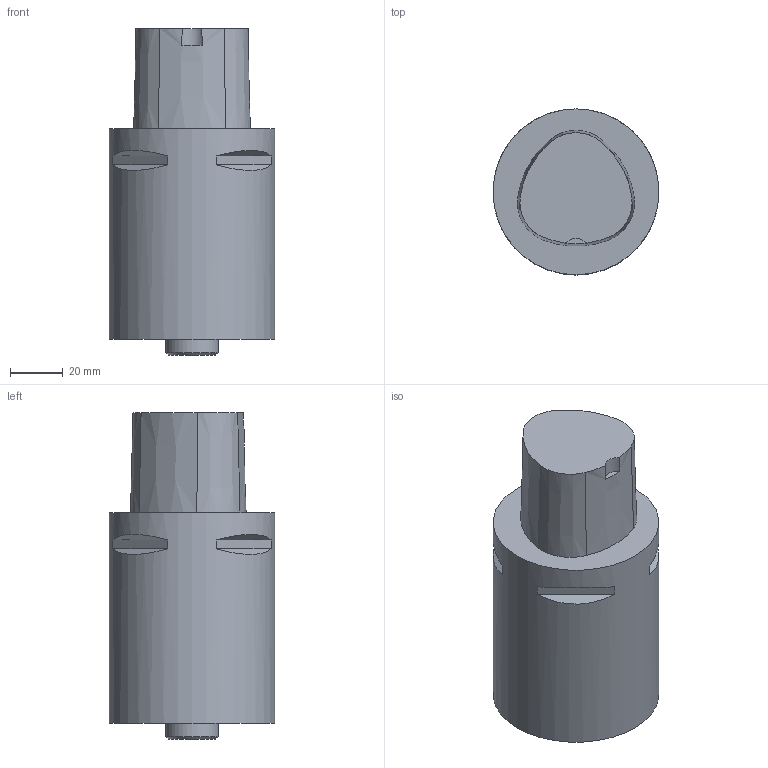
import cadquery as cq
import math

body_diameter = 63.0
body_height = 80.0
body_radius = body_diameter / 2

pin_diameter = 20.0
pin_height = 6.0
pin_chamfer = 1.0

shank_height = 38.0
flank_distance = 20.65
lobe_count = 3
flank_pitch = 360 / lobe_count
lobe_distance = 23.35
lobe_radius = 15.25
taper_on_width = 1 / 20
top_inset = shank_height * taper_on_width / 2

notch_radius = 5.0
notch_height = 6.3
notch_bottom_y = -17.8

groove_count = 4
groove_first_angle = 45.0
groove_center_depth = 12.0
groove_floor_height = 3.4
groove_floor_distance = 27.85
groove_wall_angle = 30.0
groove_overrun = 1.0


def polar_point(radius, degrees):
    angle = math.radians(degrees)
    return (radius * math.cos(angle), radius * math.sin(angle))


def shank_section(z, inset):
    """Wire of six tangent arcs: three lobes alternating with three flatter flanks."""
    flank = flank_distance - inset
    lobe = lobe_distance - inset
    radius = lobe_radius - inset
    lobe_center = lobe - radius
    flank_radius = (flank**2 + lobe_center**2 - radius**2 - flank * lobe_center) / (
        2 * flank - 2 * radius - lobe_center
    )
    flank_center = flank_radius - flank
    across = lobe_center * math.sin(math.pi / lobe_count)
    along = lobe_center * math.cos(math.pi / lobe_count) + flank_center
    half_sweep = math.atan2(across, along)
    joint_across = flank_radius * math.sin(half_sweep)
    joint_along = flank_radius * math.cos(half_sweep) - flank_center
    joint_distance = math.hypot(joint_across, joint_along)
    joint_angle = math.degrees(math.atan2(joint_across, joint_along))

    outline = cq.Workplane("XY", origin=(0, 0, z))
    outline = outline.moveTo(*polar_point(joint_distance, -90 - joint_angle))
    for i in range(lobe_count):
        flank_angle = -90 + i * flank_pitch
        flank_end = polar_point(joint_distance, flank_angle + joint_angle)
        lobe_end = polar_point(joint_distance, flank_angle + flank_pitch - joint_angle)
        outline = outline.threePointArc(polar_point(flank, flank_angle), flank_end)
        outline = outline.threePointArc(polar_point(lobe, flank_angle + flank_pitch / 2), lobe_end)
    return outline.close().val()


def make_shank():
    base = shank_section(0, 0)
    top = shank_section(shank_height, top_inset)
    shank = cq.Workplane(cq.Solid.makeLoft([base, top], True))
    notch = (
        cq.Workplane("XY", origin=(0, 0, shank_height))
        .center(0, notch_bottom_y - notch_radius)
        .circle(notch_radius)
        .extrude(-notch_height)
    )
    return shank.cut(notch)


def make_groove_cutter():
    """Straight trapezoidal bar on the +X side, widening outwards."""
    outer = body_radius + groove_overrun
    floor_half = groove_floor_height / 2
    wall_rise = (outer - groove_floor_distance) * math.tan(math.radians(groove_wall_angle))
    mouth_half = floor_half + wall_rise
    return (
        cq.Workplane("XZ", origin=(0, 0, -groove_center_depth))
        .moveTo(groove_floor_distance, -floor_half)
        .lineTo(outer, -mouth_half)
        .lineTo(outer, mouth_half)
        .lineTo(groove_floor_distance, floor_half)
        .close()
        .extrude(body_radius, both=True)
    )


def make_body():
    body = cq.Workplane("XY").circle(body_radius).extrude(-body_height)
    cutter = make_groove_cutter()
    for i in range(groove_count):
        angle = groove_first_angle + i * 360 / groove_count
        body = body.cut(cutter.rotate((0, 0, 0), (0, 0, 1), angle))
    return body


def make_pin():
    return (
        cq.Workplane("XY", origin=(0, 0, -body_height))
        .circle(pin_diameter / 2)
        .extrude(-pin_height)
        .faces("<Z")
        .chamfer(pin_chamfer)
    )


result = make_body().union(make_pin()).union(make_shank())